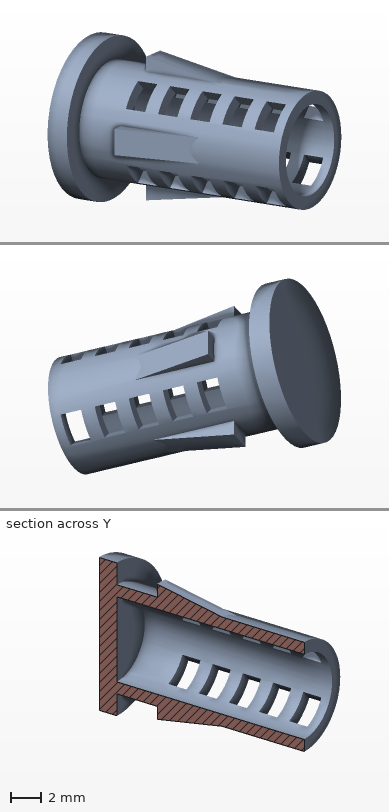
import cadquery as cq
import math

total_length = 17.0
head_diameter = 11.2
head_thickness = 1.5
sleeve_diameter = 8.0
bore_diameter = 6.19

barb_start = 4.81
barb_width = 1.8
barb_peak_radius = 4.95
barb_slope = 10.0
barb_count = 4

window_start = barb_start
window_length = 1.5
window_width = 2.21
window_pitch = 2.5
windows_per_row = 5

sleeve_radius = sleeve_diameter / 2
bore_radius = bore_diameter / 2
barb_spacing = 360 / barb_count
first_row_angle = barb_spacing / 2


def x_cylinder(diameter, start, end):
    """Solid cylinder along X between two stations."""
    return cq.Workplane("YZ").workplane(offset=start).circle(diameter / 2).extrude(end - start)


def around_axis(body, angle):
    """Body turned about the X axis."""
    return body.rotate((0, 0, 0), (1, 0, 0), angle)


def make_barb():
    """Wedge on the +Z side, rooted at mid-wall so that it joins the round sleeve."""
    root_radius = (sleeve_radius + bore_radius) / 2
    barb_length = (barb_peak_radius - root_radius) / math.tan(math.radians(barb_slope))
    return (
        cq.Workplane("XZ")
        .moveTo(barb_start, root_radius)
        .lineTo(barb_start, barb_peak_radius)
        .lineTo(barb_start + barb_length, root_radius)
        .close()
        .extrude(barb_width / 2, both=True)
    )


def make_window_row():
    """Row of parallel-sided cutters reaching from the axis through the +Z wall."""
    first_center = window_start + window_length / 2
    centers = [(first_center + index * window_pitch, 0) for index in range(windows_per_row)]
    return (
        cq.Workplane("XY")
        .pushPoints(centers)
        .rect(window_length, window_width)
        .extrude(sleeve_diameter)
    )


result = x_cylinder(head_diameter, 0, head_thickness)
result = result.union(x_cylinder(sleeve_diameter, head_thickness, total_length))

result = result.cut(x_cylinder(bore_diameter, head_thickness, total_length))

for position in range(barb_count):
    barb_angle = position * barb_spacing
    result = result.union(around_axis(make_barb(), barb_angle))
    result = result.cut(around_axis(make_window_row(), barb_angle + first_row_angle))